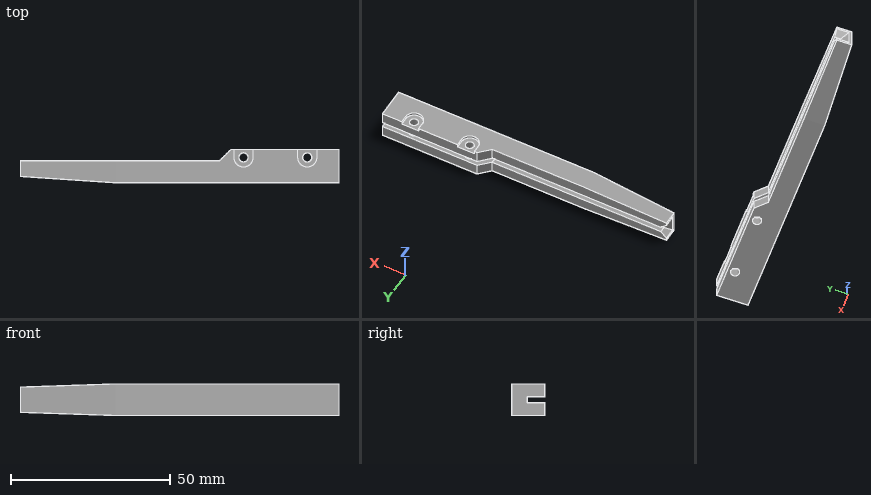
import cadquery as cq

LENGTH = 100.0
HEIGHT = 10.0
FULL_WIDTH = 10.5
NOSE_WIDTH = 7.0
MID_Z = HEIGHT / 2

TAPER_LENGTH = 30.0
TIP_SIDE_INSET = 2.0
TIP_HEIGHT = 8.0

RAMP_START = 62.5
RAMP_END = 66.0

SLOT_HEIGHT = 2.0
BLOCK_SLOT_HEIGHT = 1.8
SLOT_FLOOR = 5.0
FUNNEL_DEPTH = 2.0
MOUTH_HEIGHT = SLOT_HEIGHT + 2 * FUNNEL_DEPTH
MOUTH_FLOOR = SLOT_FLOOR - FUNNEL_DEPTH

HOLE_POSITIONS = (70.0, 90.0)
HOLE_Y = 8.0
HOLE_DIAMETER = 2.8
SEAT_DIAMETER = 6.0
SEAT_DEPTH = 1.0


def section(x, y_min, y_max, height):
    """Rectangular wire in the plane at x, centred on the mid height."""
    return (
        cq.Workplane("YZ", origin=(x, (y_min + y_max) / 2, MID_Z))
        .rect(y_max - y_min, height)
        .wires()
        .val()
    )


def loft_between(start, end):
    return cq.Workplane(cq.Solid.makeLoft([start, end], True))


def make_bar():
    body = (
        cq.Workplane("XY")
        .moveTo(TAPER_LENGTH, 0)
        .lineTo(LENGTH, 0)
        .lineTo(LENGTH, FULL_WIDTH)
        .lineTo(RAMP_END, FULL_WIDTH)
        .lineTo(RAMP_START, NOSE_WIDTH)
        .lineTo(TAPER_LENGTH, NOSE_WIDTH)
        .close()
        .extrude(HEIGHT)
    )
    nose = loft_between(
        section(0, TIP_SIDE_INSET, NOSE_WIDTH, TIP_HEIGHT),
        section(TAPER_LENGTH, 0, NOSE_WIDTH, HEIGHT),
    )
    return body.union(nose)


def make_slot():
    mouth = section(0, MOUTH_FLOOR, FULL_WIDTH, MOUTH_HEIGHT)
    throat = section(FUNNEL_DEPTH, SLOT_FLOOR, FULL_WIDTH, SLOT_HEIGHT)
    slot_end = section(RAMP_START, SLOT_FLOOR, FULL_WIDTH, SLOT_HEIGHT)
    block_start = section(RAMP_START, SLOT_FLOOR, FULL_WIDTH, BLOCK_SLOT_HEIGHT)
    block_end = section(LENGTH, SLOT_FLOOR, FULL_WIDTH, BLOCK_SLOT_HEIGHT)
    funnel = loft_between(mouth, throat)
    nose_slot = loft_between(throat, slot_end)
    block_slot = loft_between(block_start, block_end)
    return funnel.union(nose_slot).union(block_slot)


def make_screw_hole(x):
    hole = cq.Workplane("XY").center(x, HOLE_Y).circle(HOLE_DIAMETER / 2).extrude(HEIGHT)
    seat_plane = cq.Workplane("XY", origin=(x, HOLE_Y, HEIGHT - SEAT_DEPTH))
    seat = seat_plane.circle(SEAT_DIAMETER / 2).extrude(SEAT_DEPTH)
    run_out = FULL_WIDTH - HOLE_Y
    opening = seat_plane.center(0, run_out / 2).rect(SEAT_DIAMETER, run_out).extrude(SEAT_DEPTH)
    return hole.union(seat).union(opening)


result = make_bar().cut(make_slot())
for hole_x in HOLE_POSITIONS:
    result = result.cut(make_screw_hole(hole_x))